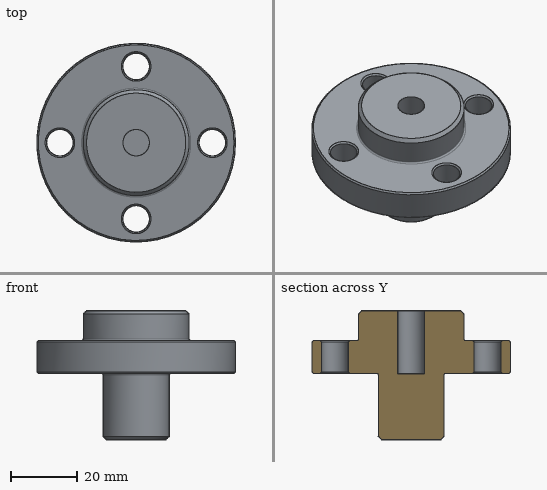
import cadquery as cq

total_height = 39.0
boss_height = 9.0
flange_thickness = 10.0
flange_top = total_height - boss_height
flange_bottom = flange_top - flange_thickness

flange_diameter = 60.0
boss_diameter = 32.0
spigot_diameter = 20.0
hole_diameter = 8.0
bolt_circle_diameter = 46.0
bolt_hole_count = 4

end_chamfer = 1.0
flange_chamfer = 0.5
root_fillet = 0.5
bolt_hole_chamfer = 0.5

bore_depth = total_height - flange_bottom


def make_disc(diameter, bottom, top):
    """Solid cylinder on the Z axis between two heights."""
    return cq.Workplane("XY").workplane(offset=bottom).circle(diameter / 2).extrude(top - bottom)


def make_body():
    """Flange with a boss above and a spigot below, blended at their roots."""
    flange = make_disc(flange_diameter, flange_bottom, flange_top).edges().chamfer(flange_chamfer)
    boss = make_disc(boss_diameter, flange_top, total_height).faces(">Z").edges().chamfer(end_chamfer)
    spigot = make_disc(spigot_diameter, 0, flange_bottom).faces("<Z").edges().chamfer(end_chamfer)
    body = flange.union(boss).union(spigot)
    for root_height, root_diameter in ((flange_top, boss_diameter), (flange_bottom, spigot_diameter)):
        root_radius = root_diameter / 2
        root_edge = cq.selectors.RadiusNthSelector(0)
        body = body.edges(
            cq.selectors.BoxSelector(
                (-root_radius, -root_radius, root_height - root_fillet / 2),
                (root_radius, root_radius, root_height + root_fillet / 2),
            )
        ).edges(root_edge).fillet(root_fillet)
    return body


def make_bolt_hole_cutter():
    """Through hole on the axis, countersunk at both flange faces."""
    radius = hole_diameter / 2
    mouth_radius = radius + bolt_hole_chamfer
    profile = [
        (0, flange_bottom),
        (mouth_radius, flange_bottom),
        (radius, flange_bottom + bolt_hole_chamfer),
        (radius, flange_top - bolt_hole_chamfer),
        (mouth_radius, flange_top),
        (0, flange_top),
    ]
    return cq.Workplane("XZ").polyline(profile).close().revolve(360, (0, 0), (0, 1))


result = make_body()

result = result.cut(make_disc(hole_diameter, total_height - bore_depth, total_height))

bolt_hole = make_bolt_hole_cutter().translate((bolt_circle_diameter / 2, 0, 0))
for index in range(bolt_hole_count):
    angle = index * 360 / bolt_hole_count
    result = result.cut(bolt_hole.rotate((0, 0, 0), (0, 0, 1), angle))